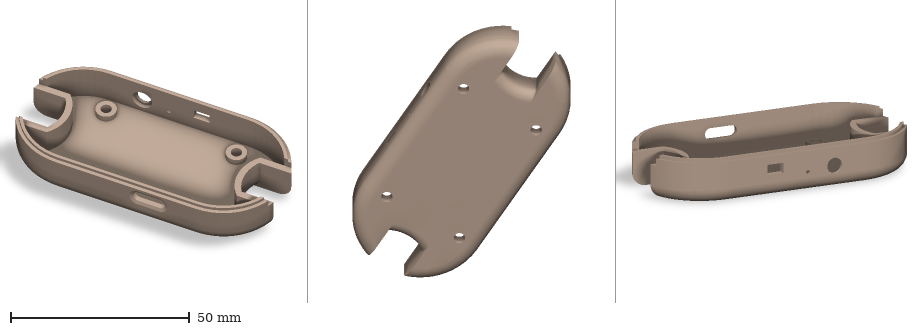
import cadquery as cq
import math

shell_width = 38.0
end_radius = shell_width / 2
half_length = 79.05 / 2
shell_height = 13.0
wall = 2.0
floor_thickness = 2.1
bottom_fillet = 4.0

lip_height = 0.95
lip_inset = 1.0

slot_half_width = 6.0
slot_end_x = 28.0
slot_radius = 11.0
slot_center_x = slot_end_x + slot_radius
slot_wall_radius = 11.55
slot_fillet = 3.0
slot_wall_top = 10.0

end_center_x = half_length - math.sqrt(end_radius**2 - slot_half_width**2)

post_x = 20.0
post_y = 12.0
post_diameter = 6.0
post_hole_diameter = 3.2
post_top = 4.0

port_x = 7.0
port_z = 8.5
port_length = 9.9
port_height = 3.4
port_flare = 0.95
port_flare_depth = 0.5

window_x = 7.0
window_z = 8.0
window_width = 5.0
window_height = 3.0
jack_x = -11.2
jack_z = 6.65
jack_outer_diameter = 4.5
jack_inner_diameter = 6.0
jack_step_depth = 1.2
pinhole_x = -3.0
pinhole_z = 5.7
pinhole_diameter = 1.2


def stadium(inset, bottom, top):
    """Upright stadium block, inset from the outer wall."""
    diameter = 2 * (end_radius - inset)
    outline = cq.Workplane("XY").workplane(offset=bottom).slot2D(2 * end_center_x + diameter, diameter)
    return outline.extrude(top - bottom)


def end_block(side, half_width, bottom, top):
    """Block of the given half width from the middle of the part past one end."""
    reach = end_center_x + end_radius
    block = cq.Workplane("XY").box(reach, 2 * half_width, top - bottom, centered=(False, True, False))
    block = block.translate((0, 0, bottom))
    return block if side > 0 else block.mirror("YZ")


def slot_wall_block(side, bottom, top):
    """Slot together with the wall around it, with its round inner end."""
    center_x = slot_end_x - wall + slot_wall_radius
    disc = cq.Workplane("XY").workplane(offset=bottom).center(side * center_x, 0)
    disc = disc.circle(slot_wall_radius).extrude(top - bottom)
    return end_block(side, slot_half_width + wall, bottom, top).intersect(disc)


def slot_cutter(side):
    """Slot opening that flares at the bottom to round the lower edge of the slot end."""
    mid = slot_fillet * (1 - math.sqrt(0.5))
    profile = (
        cq.Workplane("XZ")
        .moveTo(0, 0)
        .lineTo(slot_radius + slot_fillet, 0)
        .threePointArc((slot_radius + mid, mid), (slot_radius, slot_fillet))
        .lineTo(slot_radius, shell_height)
        .lineTo(0, shell_height)
        .close()
    )
    disc = profile.revolve(360, (0, 0, 0), (0, 1, 0)).translate((side * slot_center_x, 0, 0))
    return end_block(side, slot_half_width, 0, shell_height).intersect(disc)


def wall_bore(x, z, diameter, start_y, depth):
    """Cylinder running toward +Y from start_y."""
    return cq.Workplane("XZ", origin=(x, start_y, z)).circle(diameter / 2).extrude(-depth)


shoulder = shell_height - lip_height
body = stadium(0, 0, shoulder).faces("<Z").edges().fillet(bottom_fillet)
body = body.union(stadium(lip_inset, shoulder - lip_height, shell_height))
cavity = stadium(wall, floor_thickness, shell_height)
for side in (-1, 1):
    cavity = cavity.cut(slot_wall_block(side, floor_thickness, slot_wall_top))
body = body.cut(cavity)

for side in (-1, 1):
    body = body.cut(slot_cutter(side))
    body = body.cut(slot_wall_block(side, slot_wall_top, shell_height))

post_points = [(x, y) for x in (-post_x, post_x) for y in (-post_y, post_y)]
posts = cq.Workplane("XY").pushPoints(post_points).circle(post_diameter / 2).extrude(post_top)
body = body.union(posts.intersect(stadium(wall, floor_thickness / 2, shell_height)))
body = body.cut(
    cq.Workplane("XY").pushPoints(post_points).circle(post_hole_diameter / 2).extrude(shell_height)
)

port = (
    cq.Workplane("XZ", origin=(port_x, -end_radius, port_z))
    .slot2D(port_length, port_height)
    .extrude(-wall)
)
flare_angle = math.degrees(math.atan2(port_flare, port_flare_depth))
flare = (
    cq.Workplane("XZ", origin=(port_x, -end_radius, port_z))
    .slot2D(port_length + 2 * port_flare, port_height + 2 * port_flare)
    .extrude(-port_flare_depth, taper=flare_angle)
)
body = body.cut(port).cut(flare)

back_inner_y = end_radius - wall
window = cq.Workplane("XY").box(window_width, wall, window_height)
body = body.cut(window.translate((window_x, end_radius - wall / 2, window_z)))
body = body.cut(wall_bore(jack_x, jack_z, jack_outer_diameter, back_inner_y, wall))
body = body.cut(wall_bore(jack_x, jack_z, jack_inner_diameter, back_inner_y, jack_step_depth))
body = body.cut(wall_bore(pinhole_x, pinhole_z, pinhole_diameter, back_inner_y, wall))

result = body